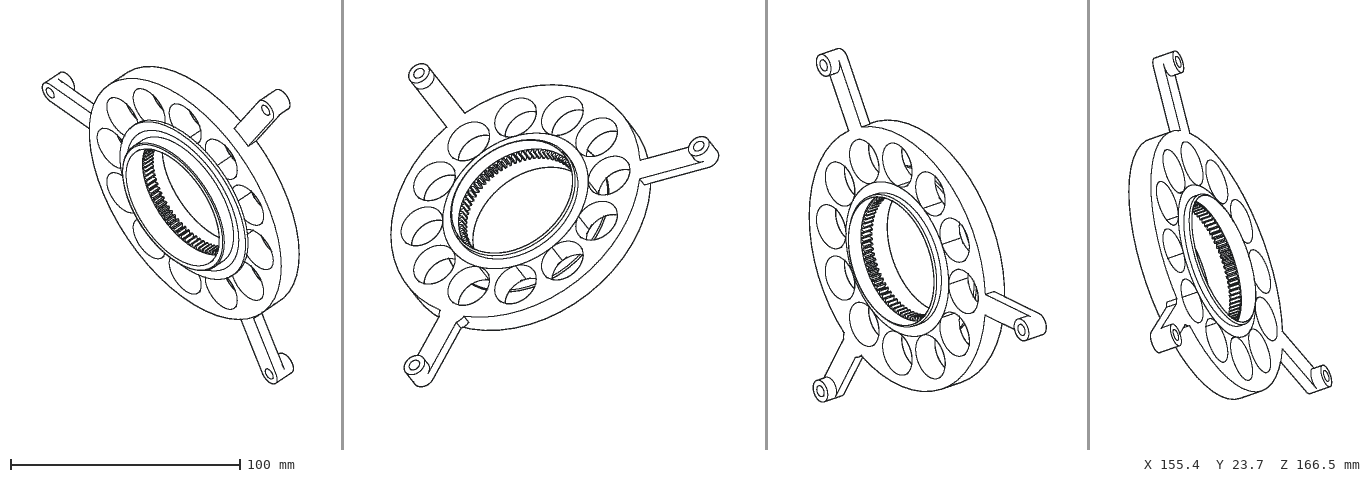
import cadquery as cq
import math


DISC_DIAMETER = 120.0
DISC_THICKNESS = 11.0
WINDOW_COUNT = 12
WINDOW_DIAMETER = 20.0
WINDOW_CIRCLE_RADIUS = 45.0

OVERALL_HEIGHT = 166.5
BOSS_DIAMETER = 10.0
BOSS_HOLE_DIAMETER = 5.0
BOSS_LENGTH = 10.0
ARM_ANGLES = (180.0, 60.0, -60.0)
ARM_TWIST = 0.8
ARM_WIDTH = BOSS_DIAMETER
ARM_THICKNESS = 5.0
PAD_ARM_ANGLE = ARM_ANGLES[2]
PAD_DIAMETER = 13.7
PAD_CIRCLE_RADIUS = 58.3

BOSS_CIRCLE_RADIUS = (OVERALL_HEIGHT - BOSS_DIAMETER) / (
    2 * math.sin(math.radians(ARM_ANGLES[1])) * math.cos(math.radians(ARM_TWIST))
)

BEARING_OUTER_DIAMETER = 70.0
BEARING_BORE_DIAMETER = 60.0
COLLAR_DIAMETER = 78.5
COLLAR_THICKNESS = 1.5

HUB_FRONT_DIAMETER = 63.5
HUB_FRONT_LENGTH = 6.2
HUB_FRONT_CHAMFER = 0.5
HUB_BACK_OVERHANG = 3.5
HUB_BACK_CHAMFER = 0.8
HUB_BORE_DIAMETER = 58.1
TOOTH_COUNT = 75
TOOTH_TIP_DIAMETER = 54.8
TOOTH_TIP_WIDTH = 0.63
TOOTH_ROOT_WIDTH = 1.8
GEAR_WIDTH = 5.0
GEAR_FRONT_Y = -8.7

DISC_FRONT_Y = -DISC_THICKNESS
COLLAR_FRONT_Y = DISC_FRONT_Y - COLLAR_THICKNESS
HUB_FRONT_Y = COLLAR_FRONT_Y - HUB_FRONT_LENGTH


def polar(radius, degrees):
    """X and Z of a point at a radius and angle about the common axis."""
    angle = math.radians(degrees)
    return radius * math.cos(angle), radius * math.sin(angle)


def front_plane(y):
    """Sketch plane at the given Y with X to the right and Z up; it extrudes towards -Y."""
    return cq.Workplane("XZ", origin=(0, y, 0))


def cylinder(diameter, front_y, back_y, center=(0, 0)):
    """Cylinder parallel to Y between two Y positions."""
    return front_plane(back_y).center(*center).circle(diameter / 2).extrude(back_y - front_y)


def make_ring(outer_diameter, inner_diameter, front_y, back_y):
    """Plain ring about the common axis."""
    outside = cylinder(outer_diameter, front_y, back_y)
    return outside.cut(cylinder(inner_diameter, front_y, back_y))


def boss_center(arm_angle):
    return polar(BOSS_CIRCLE_RADIUS, arm_angle + ARM_TWIST)


def make_arm(arm_angle):
    """Straight flat arm that starts inside the disc rim and ends at the middle of its boss."""
    boss_x, boss_z = boss_center(arm_angle)
    length = BOSS_CIRCLE_RADIUS - PAD_CIRCLE_RADIUS
    inward_x, inward_z = polar(length / 2, arm_angle + 180)
    return (
        front_plane(0)
        .center(boss_x + inward_x, boss_z + inward_z)
        .transformed(rotate=(0, 0, arm_angle))
        .rect(length, ARM_WIDTH)
        .extrude(ARM_THICKNESS)
    )


def make_carrier():
    """Disc with a ring of windows and three arms that end in drilled bosses."""
    carrier = cylinder(DISC_DIAMETER, DISC_FRONT_Y, 0)
    boss_back_y = BOSS_LENGTH - ARM_THICKNESS
    for arm_angle in ARM_ANGLES:
        center = boss_center(arm_angle)
        carrier = carrier.union(make_arm(arm_angle))
        carrier = carrier.union(cylinder(BOSS_DIAMETER, -ARM_THICKNESS, boss_back_y, center))
        carrier = carrier.cut(cylinder(BOSS_HOLE_DIAMETER, -ARM_THICKNESS, boss_back_y, center))

    pad_center = polar(PAD_CIRCLE_RADIUS, PAD_ARM_ANGLE + ARM_TWIST)
    carrier = carrier.union(cylinder(PAD_DIAMETER, -ARM_THICKNESS, 0, pad_center))

    for index in range(WINDOW_COUNT):
        center = polar(WINDOW_CIRCLE_RADIUS, index * 360 / WINDOW_COUNT)
        carrier = carrier.cut(cylinder(WINDOW_DIAMETER, DISC_FRONT_Y, 0, center))
    return carrier.cut(cylinder(BEARING_OUTER_DIAMETER, DISC_FRONT_Y, 0))


def gear_opening():
    """Prism that fills the space inside the gear teeth."""
    tip_radius = TOOTH_TIP_DIAMETER / 2
    root_radius = HUB_BORE_DIAMETER / 2
    tip_half_angle = math.degrees(TOOTH_TIP_WIDTH / 2 / tip_radius)
    root_half_angle = math.degrees(TOOTH_ROOT_WIDTH / 2 / root_radius)
    outline = []
    for index in range(TOOTH_COUNT):
        middle = index * 360 / TOOTH_COUNT
        outline.append(polar(root_radius, middle - root_half_angle))
        outline.append(polar(tip_radius, middle - tip_half_angle))
        outline.append(polar(tip_radius, middle + tip_half_angle))
        outline.append(polar(root_radius, middle + root_half_angle))
    return front_plane(GEAR_FRONT_Y + GEAR_WIDTH).polyline(outline).close().extrude(GEAR_WIDTH)


def make_hub():
    """Thin tube with a shoulder in front of the bearing and internal teeth midway along it."""
    front = cylinder(HUB_FRONT_DIAMETER, HUB_FRONT_Y, COLLAR_FRONT_Y)
    front = front.faces("<Y").chamfer(HUB_FRONT_CHAMFER)
    sleeve = cylinder(BEARING_BORE_DIAMETER, COLLAR_FRONT_Y, HUB_BACK_OVERHANG)
    sleeve = sleeve.faces(">Y").chamfer(HUB_BACK_CHAMFER)
    hub = front.union(sleeve)
    hub = hub.cut(cylinder(HUB_BORE_DIAMETER, HUB_FRONT_Y, GEAR_FRONT_Y))
    hub = hub.cut(cylinder(HUB_BORE_DIAMETER, GEAR_FRONT_Y + GEAR_WIDTH, HUB_BACK_OVERHANG))
    return hub.cut(gear_opening())


carrier = make_carrier()
collar = make_ring(COLLAR_DIAMETER, BEARING_OUTER_DIAMETER, COLLAR_FRONT_Y, DISC_FRONT_Y)
bearing = make_ring(BEARING_OUTER_DIAMETER, BEARING_BORE_DIAMETER, COLLAR_FRONT_Y, 0)
hub = make_hub()

result = cq.Compound.makeCompound([carrier.val(), collar.val(), bearing.val(), hub.val()])